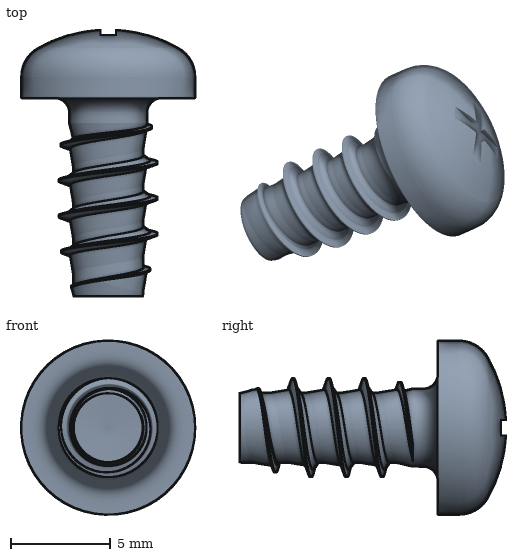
import math

import cadquery as cq


head_radius = 4.4
head_height = 3.47
head_corner_radius = 1.7
rim_height = 1.05
rim_edge_radius = 0.08

slot_width = 0.77
slot_floor_height = 3.2

shank_length = 10.0
neck_radius = 1.975
neck_length = 1.25
neck_fillet_radius = 0.7
core_radius = 1.775
core_taper_length = 0.8
tip_radius = 1.74
tip_cone_length = 0.9
tip_cone_top_radius = 1.99
dimple_radius = 1.67
dimple_depth = 0.11

pitch = 1.8
thread_turns = 5
thread_radius = 2.5
run_in_turns = 1.0
run_in_start_radius = 2.13
run_out_turns = 1.5
run_out_end_radius = 1.76
thread_start_angle = 90

crest_half_width = 0.03
lower_flank_height = 0.24
lower_flank_depth = 0.62
upper_flank_height = 0.11
upper_flank_depth = 0.37
upper_root_height = 0.36
upper_root_depth = 0.73
root_depth = 1.0

ridge_radius = 1.95
ridge_top_height = -0.05
ridge_bottom_height = -1.37
ridge_foot_radius = 1.73
ridge_root_radius = 1.5

tip_height = -shank_length
neck_end_height = -neck_length


def make_head_and_core():
    """Revolved body: domed head, neck, tapered transition and core."""
    corner_center_radius = head_radius - head_corner_radius
    apex_above_corner = head_height - rim_height
    dome_radius = (
        corner_center_radius**2 + apex_above_corner**2 - head_corner_radius**2
    ) / (2 * (apex_above_corner - head_corner_radius))
    dome_center_height = head_height - dome_radius
    dome_angle = math.atan2(corner_center_radius, rim_height - dome_center_height)

    def on_dome(angle):
        return (dome_radius * math.sin(angle), dome_center_height + dome_radius * math.cos(angle))

    def on_corner(angle):
        return (
            corner_center_radius + head_corner_radius * math.sin(angle),
            rim_height + head_corner_radius * math.cos(angle),
        )

    core_top_height = neck_end_height - core_taper_length
    corner_mid_angle = (dome_angle + math.pi / 2) / 2
    diagonal = math.sqrt(0.5)
    return (
        cq.Workplane("XZ")
        .moveTo(0, head_height)
        .threePointArc(on_dome(dome_angle / 2), on_dome(dome_angle))
        .threePointArc(on_corner(corner_mid_angle), (head_radius, rim_height))
        .lineTo(head_radius, rim_edge_radius)
        .threePointArc(
            (head_radius - rim_edge_radius * (1 - diagonal), rim_edge_radius * (1 - diagonal)),
            (head_radius - rim_edge_radius, 0),
        )
        .lineTo(neck_radius + neck_fillet_radius, 0)
        .threePointArc(
            (neck_radius + neck_fillet_radius * (1 - diagonal), -neck_fillet_radius * (1 - diagonal)),
            (neck_radius, -neck_fillet_radius),
        )
        .lineTo(neck_radius, neck_end_height)
        .lineTo(core_radius, core_top_height)
        .lineTo(core_radius, tip_height)
        .lineTo(0, tip_height)
        .close()
        .revolve(axisStart=(0, 0, 0), axisEnd=(0, 1, 0))
    )


def make_helix(start_radius, end_radius, turns, start_height, start_angle):
    """Right-handed helix of the thread pitch whose radius changes evenly from start to end."""
    rise = pitch * turns
    cylinder = 360
    if start_radius == end_radius:
        helix = cq.Wire.makeHelix(pitch, rise, start_radius, angle=cylinder)
    else:
        cone_angle = math.atan2(end_radius - start_radius, rise)
        slant_ratio = 1 / math.cos(cone_angle)
        helix = cq.Wire.makeHelix(
            pitch * slant_ratio, rise * slant_ratio, start_radius, angle=math.degrees(cone_angle)
        )
    helix = helix.rotate(cq.Vector(0, 0, 0), cq.Vector(0, 0, 1), start_angle)
    return helix.translate(cq.Vector(0, 0, start_height)).Edges()[0]


def make_helical_solid(section, turns, start_turn=0.0, radius_growth=0.0):
    """Carry a closed (radius, height) section up the thread, shifting it outwards by radius_growth."""
    start_angle = thread_start_angle + 360 * start_turn
    base_height = tip_height + pitch * start_turn
    helices = [
        make_helix(radius, radius + radius_growth, turns, base_height + height, start_angle)
        for radius, height in section
    ]
    neighbours = helices[1:] + helices[:1]
    faces = [cq.Face.makeRuledSurface(a, b) for a, b in zip(helices, neighbours)]
    for end in (0, 1):
        corners = [helix.positionAt(end) for helix in helices]
        faces.append(cq.Face.makeFromWires(cq.Wire.makePolygon(corners, close=True)))
    solid = cq.Solid.makeSolid(cq.Shell.makeShell(faces))
    return cq.Workplane(solid.fix())


def thread_section(crest_radius):
    """Closed (radius, height) section of the thread, with the crest at height 0."""
    return [
        (crest_radius - root_depth, -lower_flank_height),
        (crest_radius - lower_flank_depth, -lower_flank_height),
        (crest_radius, -crest_half_width),
        (crest_radius, crest_half_width),
        (crest_radius - upper_flank_depth, upper_flank_height),
        (crest_radius - upper_root_depth, upper_root_height),
        (crest_radius - root_depth, upper_root_height),
    ]


def make_thread():
    """Thread parts from the tip up: run-out, full thread and run-in."""
    full_turns = thread_turns - run_out_turns - run_in_turns
    run_out = make_helical_solid(
        thread_section(run_out_end_radius),
        run_out_turns,
        radius_growth=thread_radius - run_out_end_radius,
    )
    full_thread = make_helical_solid(thread_section(thread_radius), full_turns, run_out_turns)
    run_in = make_helical_solid(
        thread_section(thread_radius),
        run_in_turns,
        run_out_turns + full_turns,
        run_in_start_radius - thread_radius,
    )
    return [run_out, full_thread, run_in]


def make_ridge():
    """Ridge parts from the tip up, one for each turn."""
    section = [
        (ridge_root_radius, ridge_bottom_height),
        (ridge_foot_radius, ridge_bottom_height),
        (ridge_radius, ridge_top_height),
        (ridge_root_radius, ridge_top_height),
    ]
    return [make_helical_solid(section, 1, turn) for turn in range(thread_turns)]


def make_slots():
    """Two crossed straight slots, open to the top of the head."""
    slot_depth = head_height - slot_floor_height
    slot_length = 2 * head_radius
    slot = (
        cq.Workplane("XY", origin=(0, 0, slot_floor_height))
        .rect(slot_length, slot_width)
        .extrude(slot_depth)
    )
    return slot.union(slot.rotate((0, 0, 0), (0, 0, 1), 90))


def make_threaded_zone():
    """Space between the tip plane and the neck, to which the ridge and the thread are trimmed."""
    return (
        cq.Workplane("XY", origin=(0, 0, tip_height))
        .circle(head_radius)
        .extrude(shank_length - neck_length)
    )


def make_tip_trim():
    """Ring outside the tip cone."""
    cone_top_height = tip_height + tip_cone_length
    return (
        cq.Workplane("XZ")
        .moveTo(tip_radius, tip_height)
        .lineTo(tip_cone_top_radius, cone_top_height)
        .lineTo(thread_radius, cone_top_height)
        .lineTo(thread_radius, tip_height)
        .close()
        .revolve(axisStart=(0, 0, 0), axisEnd=(0, 1, 0))
    )


def make_dimple():
    """Shallow cone sunk into the tip."""
    return (
        cq.Workplane("XZ")
        .moveTo(0, tip_height)
        .lineTo(dimple_radius, tip_height)
        .lineTo(0, tip_height + dimple_depth)
        .close()
        .revolve(axisStart=(0, 0, 0), axisEnd=(0, 1, 0))
    )


screw = make_head_and_core().cut(make_slots())
threaded_zone = make_threaded_zone()
for helical_part in make_ridge() + make_thread():
    screw = screw.union(helical_part.intersect(threaded_zone))
screw = screw.cut(make_tip_trim()).cut(make_dimple())

result = screw.rotate((0, 0, 0), (1, 0, 0), -90)